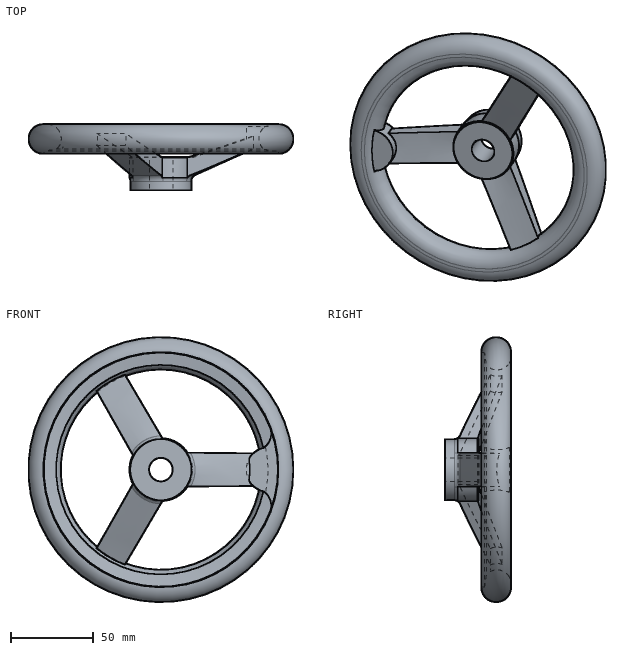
import cadquery as cq
import math

outer_radius = 80.0
total_depth = 40.0

rim_depth = 18.0
rim_round = rim_depth / 2
rim_middle_radius = outer_radius - rim_round
recess_radius = 70.5
recess_depth = 1.9
recess_floor = rim_depth - recess_depth
cone_end_radius = 63.2
inner_radius = 60.3
nose_round = 8.6
nose_center_radius = inner_radius + nose_round
cone_end_height = nose_round + math.sqrt(nose_round**2 - (nose_center_radius - cone_end_radius) ** 2)

hub_radius = 37.0 / 2
bore_radius = 14.0 / 2
hub_back_height = 19.7
hub_back_chamfer = 0.6
collar_radius = 19.0

flare_round = 4.0
flare_height = 34.4
flare_sweep = math.radians(60)
flare_center_radius = hub_radius + flare_round

spoke_count = 3
spoke_half_width_hub = 10.4
spoke_half_width_rim = 9.8
spoke_end_radius = 64.0
spoke_back_start_height = 20.3
spoke_front_end_height = 11.5
spoke_back_end_height = 4.5

boss_radius = 13.5
boss_center_radius = 64.8
boss_flare_x = 61.9
boss_flare_z = 13.1
boss_rim_z = 24.8
boss_flare_sag = 1.6
boss_back_height = 1.3
boss_tip_taper = 11.2


def revolve_about_axis(profile):
    """Revolve a closed (radius, height) profile, with height measured toward -Y."""
    return profile.close().revolve(360, (0, 0, 0), (0, 1, 0)).mirror("XZ")


def make_rim():
    profile = (
        cq.Workplane("XY")
        .moveTo(rim_middle_radius, 0)
        .threePointArc((outer_radius, rim_round), (rim_middle_radius, rim_depth))
        .lineTo(recess_radius, recess_floor)
        .lineTo(cone_end_radius, cone_end_height)
        .threePointArc((inner_radius, nose_round), (nose_center_radius, 0))
    )
    return revolve_about_axis(profile)


def flare_point(angle):
    """Point (radius, height) on the flare, turned by angle from its start at the hub."""
    return (
        flare_center_radius - flare_round * math.cos(angle),
        flare_height - flare_round * math.sin(angle),
    )


def make_hub():
    collar_angle = math.acos((flare_center_radius - collar_radius) / flare_round)
    profile = (
        cq.Workplane("XY")
        .moveTo(0, hub_back_height)
        .lineTo(collar_radius - hub_back_chamfer, hub_back_height)
        .lineTo(collar_radius, hub_back_height + hub_back_chamfer)
        .lineTo(*flare_point(collar_angle))
        .threePointArc(flare_point(collar_angle / 2), flare_point(0))
        .lineTo(hub_radius, total_depth)
        .lineTo(0, total_depth)
    )
    return revolve_about_axis(profile)


def make_spokes():
    profile = (
        cq.Workplane("XY")
        .moveTo(bore_radius, spoke_back_start_height)
        .lineTo(hub_radius, spoke_back_start_height)
        .lineTo(spoke_end_radius, spoke_back_end_height)
        .lineTo(spoke_end_radius, spoke_front_end_height)
        .lineTo(*flare_point(flare_sweep))
        .threePointArc(flare_point(flare_sweep / 2), flare_point(0))
        .lineTo(bore_radius, flare_height)
    )
    web = revolve_about_axis(profile)
    outline = (
        cq.Workplane("XZ")
        .polyline([
            (0, -spoke_half_width_hub),
            (outer_radius, -spoke_half_width_rim),
            (outer_radius, spoke_half_width_rim),
            (0, spoke_half_width_hub),
        ])
        .close()
        .extrude(total_depth)
    )
    spoke = web.intersect(outline)
    spokes = spoke
    for index in range(1, spoke_count):
        angle = index * 360 / spoke_count
        spokes = spokes.union(spoke.rotate((0, 0, 0), (0, 1, 0), angle))
    return spokes


def make_boss():
    rim_x = math.sqrt(recess_radius**2 - boss_rim_z**2)
    flare_middle_x = (boss_flare_x + rim_x) / 2 + boss_flare_sag
    flare_middle_z = (boss_flare_z + boss_rim_z) / 2 - boss_flare_sag
    return (
        cq.Workplane("XZ", origin=(0, -boss_back_height, 0))
        .moveTo(boss_flare_x, boss_flare_z)
        .threePointArc((flare_middle_x, flare_middle_z), (rim_x, boss_rim_z))
        .lineTo(rim_middle_radius, boss_rim_z - boss_tip_taper)
        .lineTo(rim_middle_radius, -boss_rim_z + boss_tip_taper)
        .lineTo(rim_x, -boss_rim_z)
        .threePointArc((flare_middle_x, -flare_middle_z), (boss_flare_x, -boss_flare_z))
        .threePointArc((boss_center_radius - boss_radius, 0), (boss_flare_x, boss_flare_z))
        .close()
        .extrude(recess_floor - boss_back_height)
    )


wheel = make_rim().union(make_spokes()).union(make_boss()).union(make_hub())
result = wheel.cut(cq.Workplane("XZ").circle(bore_radius).extrude(total_depth))